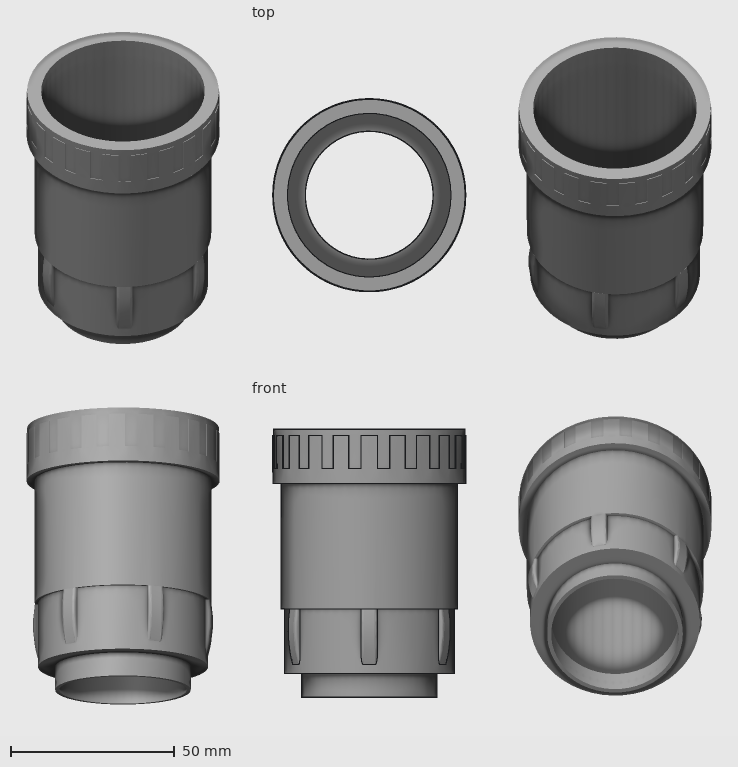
import cadquery as cq
import math

total_height = 82.0
spigot_top = 7.2
sleeve_top = 27.1
collar_bottom = 65.35
recess_bottom = 69.95
tooth_top = 80.0

through_bore_diameter = 39.0
spigot_diameter = 41.5
socket_diameter = 50.0
sleeve_diameter = 52.0
body_diameter = 54.0
recess_diameter = 58.6
collar_diameter = 59.0

body_wall = (body_diameter - socket_diameter) / 2
socket_floor = spigot_top + body_wall

tooth_count = 21
tooth_pitch = 360 / tooth_count
recess_angle = 7.5
front_angle = -90.0

rib_count = 6
rib_width = 5.0
rib_edge_radius = 0.9
rib_bottom = 10.1
rib_crest_height = 21.15
rib_crest_radius = 27.55


def cylinder(diameter, bottom, top):
    return cq.Workplane("XY").workplane(offset=bottom).circle(diameter / 2).extrude(top - bottom)


def make_recess_wedge(center_angle):
    """Wedge from the axis outward, one recess wide and as tall as the teeth."""
    half_angle = math.radians(recess_angle / 2)
    reach = collar_diameter
    side = reach * math.tan(half_angle)
    return (
        cq.Workplane("XY")
        .workplane(offset=recess_bottom)
        .polyline([(0, 0), (reach, -side), (reach, side)])
        .close()
        .extrude(tooth_top - recess_bottom)
        .rotate((0, 0, 0), (0, 0, 1), center_angle)
    )


def make_toothed_ring():
    """Outer collar ring: plain band below, separate teeth above."""
    ring = cylinder(collar_diameter, collar_bottom, tooth_top)
    ring = ring.cut(cylinder(socket_diameter, collar_bottom, tooth_top))
    for index in range(tooth_count):
        ring = ring.cut(make_recess_wedge(front_angle + (index + 0.5) * tooth_pitch))
    return ring


def make_body():
    """Stepped outside: spigot, sleeve, main body, toothed collar and plain top rim."""
    body = cylinder(spigot_diameter, 0, spigot_top)
    body = body.union(cylinder(sleeve_diameter, spigot_top, sleeve_top))
    body = body.union(cylinder(body_diameter, sleeve_top, collar_bottom))
    body = body.union(cylinder(recess_diameter, collar_bottom, total_height))
    return body.union(make_toothed_ring())


def make_rib(center_angle):
    """Rib with an arched crest and rounded long edges, rooted inside the sleeve."""
    root = spigot_diameter / 2
    return (
        cq.Workplane("XZ")
        .moveTo(root, rib_bottom)
        .lineTo(sleeve_diameter / 2, rib_bottom)
        .threePointArc((rib_crest_radius, rib_crest_height), (body_diameter / 2, sleeve_top))
        .lineTo(root, sleeve_top)
        .close()
        .extrude(rib_width / 2, both=True)
        .edges("%CIRCLE")
        .fillet(rib_edge_radius)
        .rotate((0, 0, 0), (0, 0, 1), center_angle)
    )


result = make_body()

for index in range(rib_count):
    result = result.union(make_rib(front_angle + index * 360 / rib_count))

result = result.cut(cylinder(through_bore_diameter, 0, total_height))
result = result.cut(cylinder(socket_diameter, socket_floor, total_height))